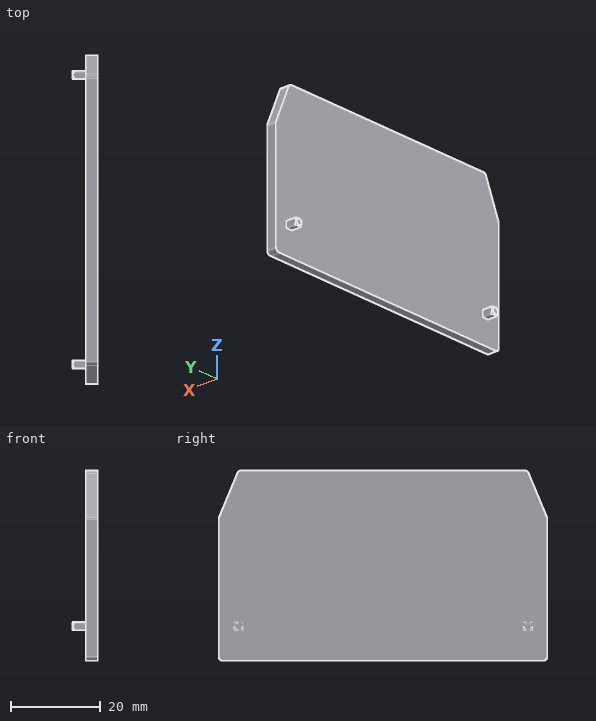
import cadquery as cq

plate_length = 73.34
plate_height = 42.51
plate_thickness = 2.7
corner_radius = 1.0

bevel_run = 4.45
bevel_drop = 10.7

pin_length = 3.0
pin_width = 1.9
pin_edge_radius = 0.2
pin_tip_diameter = 1.6
pin_inset = 4.4
pin_height = 7.75


def make_plate():
    """Plate outline in the YZ plane, extruded along +X, with rounded corners."""
    half_length = plate_length / 2
    half_top = half_length - bevel_run
    shoulder_height = plate_height - bevel_drop
    outline = [
        (-half_length, 0),
        (half_length, 0),
        (half_length, shoulder_height),
        (half_top, plate_height),
        (-half_top, plate_height),
        (-half_length, shoulder_height),
    ]
    plate = cq.Workplane("YZ").polyline(outline).close().extrude(plate_thickness)
    return plate.edges("|X").fillet(corner_radius)


def make_pin(y):
    """Square pin along -X whose tip is trimmed by a 45 degree cone."""
    pin = (
        cq.Workplane("YZ")
        .center(y, pin_height)
        .rect(pin_width, pin_width)
        .extrude(-pin_length)
        .edges("|X")
        .fillet(pin_edge_radius)
    )
    tip_radius = pin_tip_diameter / 2
    cone_envelope = cq.Solid.makeCone(
        tip_radius,
        tip_radius + pin_length,
        pin_length,
        pnt=cq.Vector(-pin_length, y, pin_height),
        dir=cq.Vector(1, 0, 0),
    )
    return pin.intersect(cq.Workplane(obj=cone_envelope))


result = make_plate()
pin_offset = plate_length / 2 - pin_inset
for pin_y in (-pin_offset, pin_offset):
    result = result.union(make_pin(pin_y))